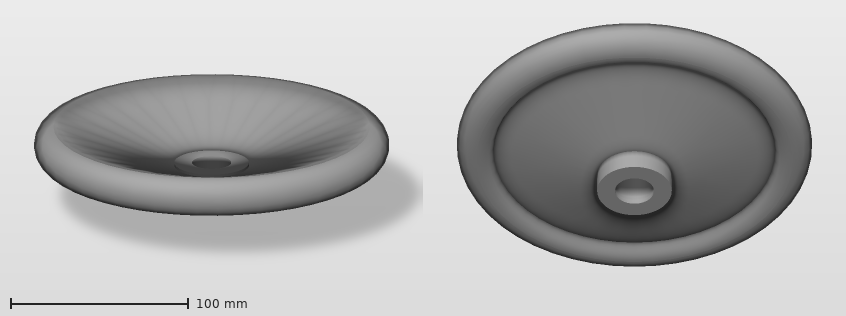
import cadquery as cq
import math

outer_radius = 100.0
total_height = 45.0

rim_section_radius = 11.0
rim_center_radius = outer_radius - rim_section_radius
rim_center_z = total_height - rim_section_radius

hub_radius = 21.0
hub_height = 23.5
bore_radius = 11.0

web_bottom_at_hub = 11.5
web_top_at_hub = 22.0
web_bottom_slope = 0.3


def web_bottom_at_rim():
    """Radius and height where the web's lower cone meets the inner side of the rim section."""
    slope_angle = math.atan(web_bottom_slope)
    height_above_center = (
        web_bottom_at_hub + web_bottom_slope * (rim_center_radius - hub_radius) - rim_center_z
    )
    offset = height_above_center * math.cos(slope_angle)
    meeting_angle = math.pi + slope_angle - math.asin(offset / rim_section_radius)
    return (
        rim_center_radius + rim_section_radius * math.cos(meeting_angle),
        rim_center_z + rim_section_radius * math.sin(meeting_angle),
    )


profile = (
    cq.Workplane("XZ")
    .moveTo(bore_radius, 0)
    .lineTo(bore_radius, hub_height)
    .lineTo(hub_radius, hub_height)
    .lineTo(hub_radius, web_top_at_hub)
    .lineTo(rim_center_radius, total_height)
    .threePointArc((outer_radius, rim_center_z), (rim_center_radius, rim_center_z - rim_section_radius))
    .threePointArc(
        (
            rim_center_radius - rim_section_radius * math.sqrt(0.5),
            rim_center_z - rim_section_radius * math.sqrt(0.5),
        ),
        web_bottom_at_rim(),
    )
    .lineTo(hub_radius, web_bottom_at_hub)
    .lineTo(hub_radius, 0)
    .close()
)

result = profile.revolve(360, (0, 0, 0), (0, 1, 0))